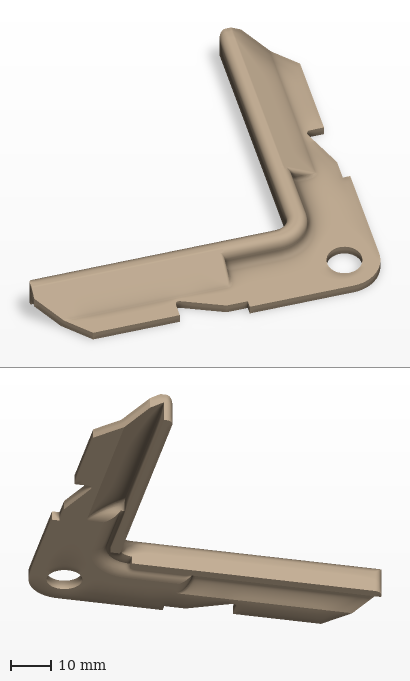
import cadquery as cq
import math


arm_length = 88.0
arm_width = 20.0
height = 7.5
sheet = 2.5
overshoot = 0.9
edge_margin = 0.1

corner_radius = 9.0
hole_diameter = 9.0
tab_length = 36.0
tab_step = 1.9
notch_ramp_start = 41.45
notch_wall = 53.6
notch_depth = 7.0
notch_radius = 1.0
end_chamfer = 12.0
inner_corner_radius = 4.0

lip_radius = 2.0
web_outer = 14.8
web_foot_radius = 1.85
web_crown_radius = 2.3
groove_depth = 2.0

ramp_start = 38.5
ramp_angle = 30.0
ramp_top_inward = 16.5
ramp_radius = 1.0

lip_outer = arm_width - sheet
bend_along = arm_width + inner_corner_radius
web_foot = web_outer - web_foot_radius
groove_radius = web_foot_radius + sheet
web_end = ramp_start + ramp_radius
ramp_slope = math.tan(math.radians(ramp_angle))
ramp_run = height / ramp_slope
pocket_start = ramp_start - ramp_radius
pocket_end = ramp_start + sheet
sheet_drop = sheet / math.cos(math.radians(ramp_angle))


def mirrored(arm):
    """Join an arm along -X to its mirror image along -Y."""
    return arm.union(arm.mirror(cq.Vector(1, -1, 0)))


def extrude_along(wire, start, end):
    """Extrude a section drawn as (-inward, z) between two distances along the X arm."""
    return wire.extrude(end - start).translate((-end, 0, 0))


def section():
    """Workplane for sections across the X arm, drawn as (-inward, z)."""
    return cq.Workplane("YZ")


def outline(thickness):
    """Plan outline of the whole bracket, with notches, chamfered ends and rounded corners."""
    edge = [
        (tab_length, 0),
        (tab_length, tab_step),
        (notch_ramp_start, tab_step),
        (notch_wall, notch_depth),
        (notch_wall, tab_step),
        (arm_length - end_chamfer, tab_step),
        (arm_length, tab_step + end_chamfer),
        (arm_length, arm_width),
    ]
    x_arm = [(-along, -inward) for along, inward in edge]
    y_arm = [(-inward, -along) for along, inward in reversed(edge)]
    points = [(0, 0)] + x_arm + [(-arm_width, -arm_width)] + y_arm
    body = cq.Workplane("XY").polyline(points).close().extrude(thickness)

    rounded = [
        (corner_radius, [(0, 0)]),
        (inner_corner_radius, [(-arm_width, -arm_width)]),
        (lip_radius, [(-arm_length, -arm_width), (-arm_width, -arm_length)]),
        (notch_radius, [(-notch_wall, -notch_depth), (-notch_depth, -notch_wall)]),
    ]
    for radius, places in rounded:
        for x, y in places:
            nearest = cq.selectors.NearestToPointSelector((x, y, thickness / 2))
            body = body.edges("|Z").edges(nearest).fillet(radius)
    return body


def rim_section():
    """Web and lip as one solid section standing on the underside of the plate."""
    return (
        section()
        .moveTo(-web_foot, 0)
        .lineTo(-web_foot, sheet)
        .radiusArc((-web_outer, sheet + web_foot_radius), web_foot_radius)
        .lineTo(-web_outer, height - web_crown_radius)
        .radiusArc((-web_outer - web_crown_radius, height), -web_crown_radius)
        .lineTo(-arm_width + lip_radius, height)
        .radiusArc((-arm_width, height - lip_radius), -lip_radius)
        .lineTo(-arm_width, 0)
        .close()
    )


def groove_section(inner_side):
    """Space beneath the web, from its rounded underside to a given inward distance."""
    groove_edge = web_foot + math.sqrt(groove_radius**2 - (groove_radius - groove_depth) ** 2)
    return (
        section()
        .moveTo(-web_foot, 0)
        .radiusArc((-groove_edge, groove_depth), groove_radius)
        .lineTo(-inner_side, groove_depth)
        .lineTo(-inner_side, 0)
        .close()
    )


def lip():
    """Straight lip of one arm, reaching down to the underside of the plate."""
    wall = (
        section()
        .moveTo(-lip_outer, 0)
        .lineTo(-lip_outer, height)
        .lineTo(-arm_width + lip_radius, height)
        .radiusArc((-arm_width, height - lip_radius), -lip_radius)
        .lineTo(-arm_width, 0)
        .close()
    )
    return extrude_along(wall, ramp_start, arm_length)


def ramp():
    """Solid wedge under the slope, with its end nearest the corner rounded over."""
    foot = ramp_top_inward - ramp_run
    points = [
        (-foot, 0),
        (-ramp_top_inward, height),
        (-lip_outer, height),
        (-lip_outer, 0),
    ]
    wedge = extrude_along(section().polyline(points).close(), ramp_start, arm_length)
    knee = cq.selectors.NearestToPointSelector((-arm_length / 2, -ramp_top_inward, height))
    wedge = wedge.edges("|X").edges(knee).fillet(ramp_radius)
    slope_middle = (-ramp_start, -ramp_top_inward + ramp_run / 2, height / 2)
    end_edge = cq.selectors.NearestToPointSelector(slope_middle)
    return wedge.faces(">X").edges(end_edge).fillet(ramp_radius)


def ramp_on_plate():
    """Ramp joined to a strip of plate, with the foot of the ramp blended in."""
    strip = (
        cq.Workplane("XY")
        .box(arm_length - bend_along, lip_outer, sheet, centered=False)
        .translate((-arm_length, -lip_outer, 0))
    )
    joined = strip.union(ramp())
    inside_strip = cq.selectors.BoxSelector(
        (-arm_length + overshoot, -lip_outer + edge_margin, sheet - edge_margin),
        (-bend_along - overshoot, -overshoot, sheet + edge_margin),
    )
    return joined.edges(inside_strip).fillet(ramp_radius)


def pocket():
    """Hollow beneath the ramp that leaves a sheet of even thickness."""
    far = arm_length + overshoot
    roof_foot = ramp_top_inward - (height - sheet_drop) / ramp_slope
    roof_top = (lip_outer - roof_foot) * ramp_slope
    triangle = section().polyline([(-roof_foot, 0), (-lip_outer, roof_top), (-lip_outer, 0)]).close()
    prism = extrude_along(triangle, bend_along, far)
    round_radius = pocket_end - pocket_start
    room = (
        cq.Workplane("XZ")
        .moveTo(-pocket_start, 0)
        .radiusArc((-pocket_end, round_radius), round_radius)
        .lineTo(-pocket_end, height)
        .lineTo(-far, height)
        .lineTo(-far, 0)
        .close()
        .extrude(arm_width)
    )
    hollow = prism.intersect(room)
    roof_end = (-pocket_end, (web_outer + lip_outer) / -2, height - sheet)
    roof_edge = cq.selectors.NearestToPointSelector(roof_end)
    return hollow.edges(roof_edge).fillet(ramp_radius)


def web():
    """Straight web between the corner bend and the ramp, kept below the ramp's slope."""
    slope_end = (-arm_width, height + (arm_width - ramp_top_inward) * ramp_slope)
    above_slope = (
        section()
        .polyline([(-ramp_top_inward + ramp_run, 0), slope_end, (0, slope_end[1]), (0, 0)])
        .close()
    )
    straight = extrude_along(rim_section(), bend_along, web_end)
    return straight.cut(extrude_along(above_slope, ramp_start, web_end))


def turned(wire):
    """Turn a section through the quarter bend at the inner corner."""
    quarter = wire.revolve(90, (-bend_along, 0.9), (-bend_along, 0))
    return quarter.translate((-bend_along, 0, 0))


def plate():
    """Flat L-shaped sheet that reaches to the foot of the web."""
    bend_radius = bend_along - web_foot
    opening = (
        cq.Workplane("XY")
        .rect(arm_length, arm_length)
        .extrude(sheet)
        .translate((-web_foot - arm_length / 2, -web_foot - arm_length / 2, 0))
        .edges("|Z and >X and >Y")
        .fillet(bend_radius)
    )
    return outline(sheet).cut(opening)


def hole():
    """Round hole concentric with the rounded outer corner."""
    centre = cq.Workplane("XY").center(-corner_radius, -corner_radius)
    return centre.circle(hole_diameter / 2).extrude(sheet)


groove = extrude_along(groove_section(lip_outer), bend_along, pocket_end)
hollows = mirrored(pocket().union(groove))
arms = mirrored(ramp_on_plate().union(web()))
lips = mirrored(lip())
corner = turned(rim_section()).cut(turned(groove_section(arm_width)))
body = plate().union(arms).cut(hollows).union(lips).union(corner)
result = body.intersect(outline(height)).cut(hole())